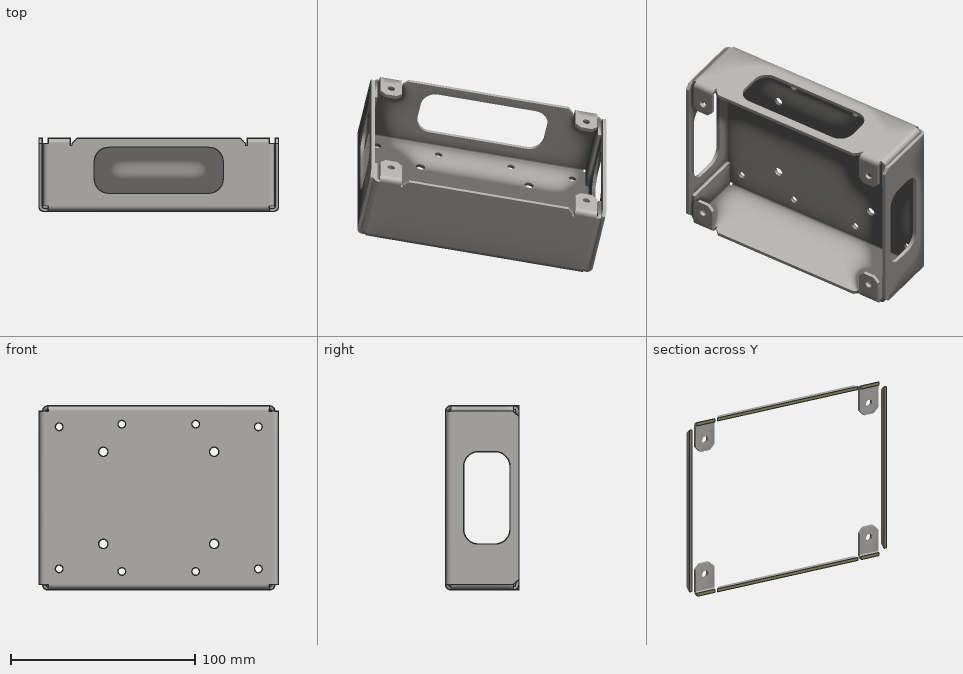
import cadquery as cq


length = 130.2
depth = 40.0
height = 100.0

sheet = 2.0
inner_bend = 1.0
outer_bend = sheet + inner_bend
clearance = 0.1

flange_span = length - 2 * (sheet + clearance)
long_wall_length = flange_span - 2 * outer_bend
side_wall_height = height - 2 * outer_bend
flange_depth = depth - 2 * outer_bend
bend_start_y = depth / 2 - outer_bend

small_hole = 4.0
tab_width = 12.1
tab_x = (long_wall_length - tab_width) / 2
tab_hole_z = 38.5
tab_length = 17.8
tab_end_z = height / 2 - tab_length
tab_corner = outer_bend
relief_width = 0.87
relief_depth = outer_bend + inner_bend

lip_length = long_wall_length - 2 * (tab_width + relief_width)

base_holes = [
    (tab_x, tab_hole_z, small_hole),
    (20.0, 40.0, small_hole),
    (30.1, 25.0, 5.0),
]

window_width = 25.0
long_window_length = 70.0
side_window_length = 50.0
window_radius = 8.0
window_y = 2.5


def block(size_x, size_y, size_z, center=(0, 0, 0)):
    return cq.Workplane().box(size_x, size_y, size_z).translate(center)


def folded_tube(axis, size_x, size_y, size_z):
    """Open-ended sheet tube along one axis, with its four corners bent round."""
    wall_x, wall_y, wall_z = [0 if name == axis else 2 * sheet for name in "XYZ"]
    outer = block(size_x, size_y, size_z).edges("|" + axis).fillet(outer_bend)
    inner = block(size_x - wall_x, size_y - wall_y, size_z - wall_z)
    return outer.cut(inner.edges("|" + axis).fillet(inner_bend))


def base_with_side_walls():
    tube = folded_tube("Z", length, depth, side_wall_height)
    shell = tube.intersect(block(length, depth, height, (0, -depth / 2, 0)))
    for side in (-1, 1):
        center = (side * (length - sheet) / 2, depth / 4, 0)
        wall = block(sheet, depth / 2, side_wall_height, center)
        shell = shell.union(wall.edges("|X and >Y").chamfer(outer_bend))
    return shell


def long_walls_with_tabs():
    tube = folded_tube("X", long_wall_length, depth, height)
    below_tabs = block(long_wall_length, depth, height, (0, -outer_bend, 0))
    walls = tube.intersect(below_tabs)
    open_half = block(length, depth / 2, height, (0, depth / 4, 0))
    for x in (-tab_x, tab_x):
        for side in (-1, 1):
            tab_zone = block(tab_width, depth, tab_length, (x, 0, side * (height - tab_length) / 2))
            free_end = "<Z" if side > 0 else ">Z"
            tab_zone = tab_zone.edges("|Y").edges(free_end).chamfer(tab_corner)
            tab_zone = tab_zone.intersect(open_half)
            walls = walls.union(tube.intersect(tab_zone))
    return walls


def tucked_flanges():
    """Ends of the long walls, folded over just inside the side walls."""
    tube = folded_tube("Y", flange_span, flange_depth, height)
    return tube.cut(block(length, depth, 2 * tab_end_z))


def long_wall_lips():
    half_lip = lip_length / 2
    lip_top = half_lip - outer_bend
    profile = [
        (-half_lip, bend_start_y),
        (half_lip, bend_start_y),
        (lip_top, depth / 2),
        (-lip_top, depth / 2),
    ]
    lip = cq.Workplane().polyline(profile).close().extrude(sheet)
    bottom_lip = lip.translate((0, 0, -height / 2))
    return bottom_lip.union(lip.translate((0, 0, height / 2 - sheet)))


def tab_reliefs():
    center_x = (lip_length + relief_width) / 2
    center_y = (depth - relief_depth) / 2
    relief = block(relief_width, relief_depth, height)
    return relief.translate((center_x, center_y, 0)).union(relief.translate((-center_x, center_y, 0)))


def windows():
    """One window in the upper long wall and one in each side wall; the lower long wall is plain."""
    long_window = block(long_window_length, window_width, height / 2, (0, 0, height / 4))
    long_window = long_window.edges("|Z").fillet(window_radius)
    side_window = block(length, window_width, side_window_length).edges("|X").fillet(window_radius)
    return long_window.union(side_window).translate((0, window_y, 0))


def mounting_holes():
    """Holes through the base; the outermost four also pierce the screw tabs."""
    drills = cq.Workplane("XZ", origin=(0, depth / 2, 0))
    for x, z, diameter in base_holes:
        corners = [(x, z), (-x, z), (x, -z), (-x, -z)]
        drills = drills.pushPoints(corners).circle(diameter / 2).extrude(depth)
    return drills


result = (
    base_with_side_walls()
    .union(long_walls_with_tabs())
    .union(tucked_flanges())
    .union(long_wall_lips())
    .cut(tab_reliefs())
    .cut(windows())
    .cut(mounting_holes())
)